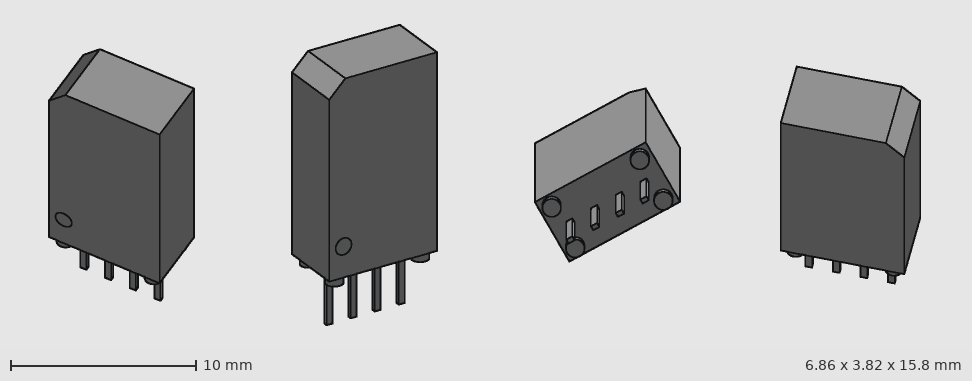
import cadquery as cq

total_height = 15.77
housing_width = 6.86
housing_depth = 3.82
corner_chamfer = 1.03

pin_count = 4
pin_pitch = 1.53
pin_width = 0.38
pin_thickness = 0.25
pin_length = 3.69

foot_diameter = 1.01
foot_height = 0.5
foot_spacing_x = 5.45
foot_spacing_y = 2.6

marker_diameter = 1.01
marker_depth = 0.1
marker_from_left = 0.91
marker_above_base = 1.9

housing_base = pin_length
housing_height = total_height - pin_length
housing_left = -housing_width / 2
housing_front = -housing_depth / 2


def make_marker():
    """Disc whose outer face lies in the housing's front face."""
    front_plane = cq.Plane(
        origin=(housing_left + marker_from_left, housing_front, housing_base + marker_above_base),
        xDir=(1, 0, 0),
        normal=(0, -1, 0),
    )
    return cq.Workplane(front_plane).circle(marker_diameter / 2).extrude(-marker_depth)


def make_housing(marker):
    """Block with a chamfered top-left edge and a recess for the marker."""
    block = (
        cq.Workplane("XY", origin=(0, 0, housing_base))
        .rect(housing_width, housing_depth)
        .extrude(housing_height)
    )
    chamfered = block.edges("<X and >Z").chamfer(corner_chamfer)
    return chamfered.cut(marker)


def make_pin(x):
    """Straight rectangular pin below the housing."""
    return cq.Workplane("XY", origin=(x, 0, 0)).rect(pin_width, pin_thickness).extrude(pin_length)


def make_foot(x, y):
    """Short cylinder hanging from the housing's underside."""
    return (
        cq.Workplane("XY", origin=(x, y, housing_base))
        .circle(foot_diameter / 2)
        .extrude(-foot_height)
    )


marker = make_marker()
housing = make_housing(marker)

first_pin_x = -pin_pitch * (pin_count - 1) / 2
pins = [make_pin(first_pin_x + index * pin_pitch) for index in range(pin_count)]

feet = [
    make_foot(side_x * foot_spacing_x / 2, side_y * foot_spacing_y / 2)
    for side_x in (-1, 1)
    for side_y in (-1, 1)
]

result = cq.Compound.makeCompound(
    [
        housing.val(),
        marker.val(),
        *[pin.val() for pin in pins],
        *[foot.val() for foot in feet],
    ]
)